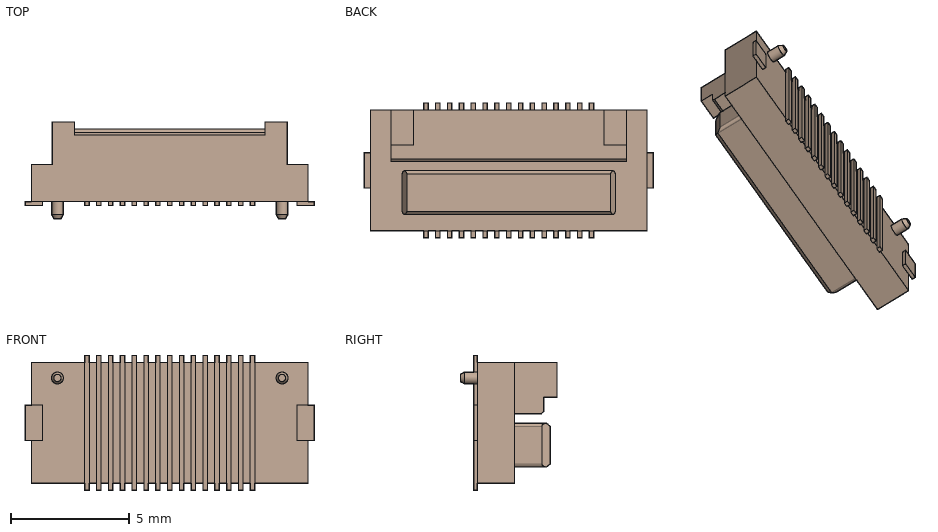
import cadquery as cq


overall_length = 12.24
block_length = 11.7
block_depth = 1.58
block_height = 5.12
block_top = block_height / 2

shroud_length = 9.94
shroud_depth = 2.82
shroud_height = 2.18
shroud_chamfer = 0.11
ear_length = 0.94
ear_depth = 3.38
ear_height = 1.48

tongue_length = 9.01
tongue_depth = 3.08
tongue_thickness = 1.86
tongue_top = block_top - 2.57
tongue_edge_radius = 0.13
tongue_lead_in_depth = 0.16
tongue_lead_in_height = 0.13
tongue_end_chamfer_depth = 0.35
tongue_end_chamfer_width = 0.21

metal_thickness = 0.16
contact_count = 15
contact_span = 7.0
contact_pitch = contact_span / (contact_count - 1)
contact_width = 0.2
contact_height = 5.7
pad_length = 0.75
pad_height = 1.5

peg_spacing = 9.5
peg_drop = 0.66
peg_diameter = 0.5
peg_tip_diameter = 0.3
peg_length = 0.72
peg_tip_length = 0.18


def box_on_face(x_center, z_center, length, height, y_start, y_end):
    """Box centred in X and Z that runs from y_start to y_end."""
    return cq.Workplane("XY").box(length, y_end - y_start, height).translate(
        (x_center, (y_start + y_end) / 2, z_center)
    )


def make_shroud():
    """Bar flush with the block top; its lower rear edge is chamfered."""
    shroud = box_on_face(
        0, block_top - shroud_height / 2, shroud_length, shroud_height, 0, shroud_depth
    )
    shroud = shroud.edges(">Y and <Z").chamfer(shroud_chamfer)
    ear_x = (shroud_length - ear_length) / 2
    for side in (-1, 1):
        ear = box_on_face(
            side * ear_x, block_top - ear_height / 2, ear_length, ear_height, 0, ear_depth
        )
        shroud = shroud.union(ear)
    return shroud


def make_tongue():
    """Tongue with rounded long edges and a tip tapered in both directions."""
    half_length = tongue_length / 2
    tip_half_length = half_length - tongue_end_chamfer_width
    half_thickness = tongue_thickness / 2
    tip_half_thickness = half_thickness - tongue_lead_in_height
    tongue = box_on_face(0, 0, tongue_length, tongue_thickness, 0, tongue_depth)
    tongue = tongue.edges("|Y").fillet(tongue_edge_radius)

    end_taper = (
        cq.Workplane("XY")
        .moveTo(-half_length, 0)
        .lineTo(half_length, 0)
        .lineTo(half_length, tongue_depth - tongue_end_chamfer_depth)
        .lineTo(tip_half_length, tongue_depth)
        .lineTo(-tip_half_length, tongue_depth)
        .lineTo(-half_length, tongue_depth - tongue_end_chamfer_depth)
        .close()
        .extrude(half_thickness, both=True)
    )
    lead_in = (
        cq.Workplane("YZ")
        .moveTo(0, -half_thickness)
        .lineTo(tongue_depth - tongue_lead_in_depth, -half_thickness)
        .lineTo(tongue_depth, -tip_half_thickness)
        .lineTo(tongue_depth, tip_half_thickness)
        .lineTo(tongue_depth - tongue_lead_in_depth, half_thickness)
        .lineTo(0, half_thickness)
        .close()
        .extrude(half_length, both=True)
    )
    tongue = tongue.intersect(end_taper).intersect(lead_in)
    return tongue.translate((0, 0, tongue_top - half_thickness))


def make_peg(x_center):
    """Round peg with a conical tip, pointing towards -Y."""
    tip_start = peg_length - peg_tip_length
    return (
        cq.Workplane("XY")
        .lineTo(peg_diameter / 2, 0)
        .lineTo(peg_diameter / 2, -tip_start)
        .lineTo(peg_tip_diameter / 2, -peg_length)
        .lineTo(0, -peg_length)
        .close()
        .revolve(360, (0, 0, 0), (0, 1, 0))
        .translate((x_center, 0, block_top - peg_drop))
    )


result = box_on_face(0, 0, block_length, block_height, 0, block_depth)
result = result.union(make_shroud()).union(make_tongue())

for index in range(contact_count):
    contact_x = -contact_span / 2 + index * contact_pitch
    contact = box_on_face(contact_x, 0, contact_width, contact_height, -metal_thickness, 0)
    result = result.union(contact)

for side in (-1, 1):
    pad_x = side * (overall_length - pad_length) / 2
    result = result.union(box_on_face(pad_x, 0, pad_length, pad_height, -metal_thickness, 0))
    result = result.union(make_peg(side * peg_spacing / 2))